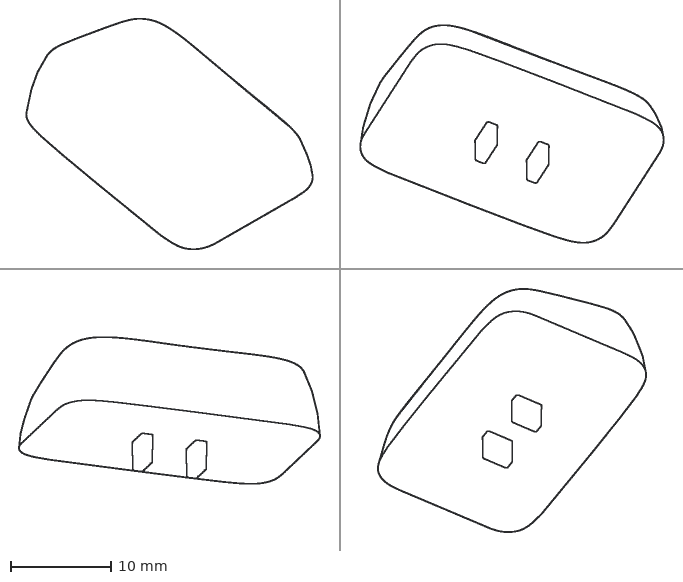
import cadquery as cq
import math

BODY_WIDTH = 27.47
BODY_DEPTH = 18.0
MID_HEIGHT = 5.63
TOP_TILT = 12.2
DISH_RADIUS = 178.55
RIM_FILLET = 0.5

SIDE_LEAN = 0.8
FRONT_LEAN = 0.88
BACK_LEAN = 0.47

BASE_SQUARENESS = 7.0
FRONT_RIM_SQUARENESS = 4.3
BACK_RIM_SQUARENESS = 5.8
POINTS_PER_HALF = 25

SECTION_LEVELS = (0.0, 0.4, 0.8, 1.2)

LEG_SPACING = 5.71
LEG_WIDTH = 1.2
LEG_DEPTH = 2.95
LEG_LENGTH = 3.0
LEG_TAPER = 0.6
LEG_ROUND = 0.22

TOP_SLOPE = math.tan(math.radians(TOP_TILT))


def blend(start, end, level):
    return start + (end - start) * level


def half_outline(level, side):
    """Half of a wall outline from front centre to back centre; side is 1 for +X and -1 for -X."""
    lean = level ** 2
    half_width = BODY_WIDTH / 2 - SIDE_LEAN * lean
    front_depth = BODY_DEPTH / 2 - FRONT_LEAN * lean
    back_depth = BODY_DEPTH / 2 - BACK_LEAN * lean
    front_squareness = blend(BASE_SQUARENESS, FRONT_RIM_SQUARENESS, level)
    back_squareness = blend(BASE_SQUARENESS, BACK_RIM_SQUARENESS, level)

    points = []
    for index in range(POINTS_PER_HALF):
        angle = math.pi * (index / (POINTS_PER_HALF - 1) - 0.5)
        at_front = angle < 0
        half_depth = front_depth if at_front else back_depth
        squareness = front_squareness if at_front else back_squareness
        across = math.cos(angle)
        along = math.sin(angle)
        reach = (abs(across) ** squareness + abs(along) ** squareness) ** (-1 / squareness)
        x = side * half_width * reach * across
        y = half_depth * reach * along
        z = level * (MID_HEIGHT - TOP_SLOPE * y)
        points.append(cq.Vector(x, y, z))
    return cq.Edge.makeSpline(points, tangents=[cq.Vector(side, 0, 0), cq.Vector(-side, 0, 0)])


def wall_section(level):
    """Closed outline of the walls, tilted more and more towards the slope of the top face."""
    return cq.Wire.assembleEdges([half_outline(level, 1), half_outline(level, -1)])


def make_dish():
    """Large cylinder lying along the slope of the top face, touching it at the centre."""
    along_slope = cq.Vector(0, 1, -TOP_SLOPE).normalized()
    off_slope = cq.Vector(0, TOP_SLOPE, 1).normalized()
    length = 2 * BODY_DEPTH
    axis_middle = cq.Vector(0, 0, MID_HEIGHT) + off_slope * DISH_RADIUS
    axis_start = axis_middle - along_slope * (length / 2)
    return cq.Workplane(cq.Solid.makeCylinder(DISH_RADIUS, length, axis_start, along_slope))


def make_body():
    walls = cq.Solid.makeLoft([wall_section(level) for level in SECTION_LEVELS])
    dished = cq.Workplane(walls).cut(make_dish())
    return dished.faces(">Z").edges().fillet(RIM_FILLET)


def make_legs():
    return (
        cq.Workplane("XY")
        .pushPoints([(-LEG_SPACING / 2, 0), (LEG_SPACING / 2, 0)])
        .rect(LEG_WIDTH, LEG_DEPTH)
        .extrude(-LEG_LENGTH, taper=LEG_TAPER)
        .edges("not >Z")
        .fillet(LEG_ROUND)
    )


result = make_body().union(make_legs())